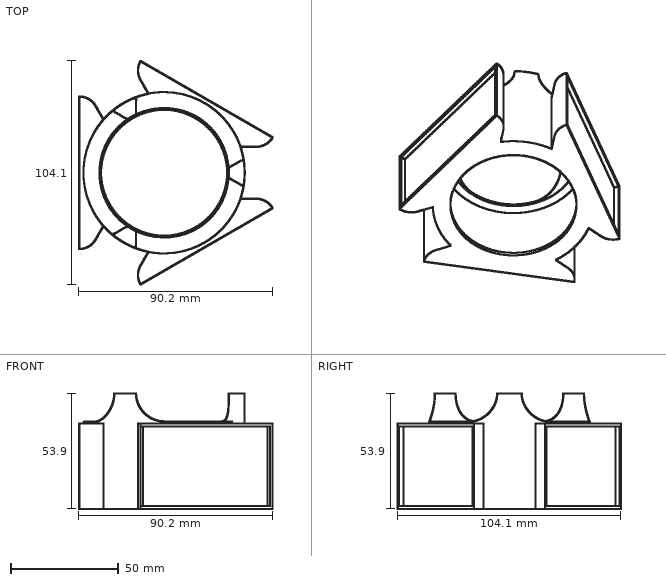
import cadquery as cq
import math

span_y = 104.1
total_height = 53.9

ring_outer_diameter = 75.2
cavity_diameter = 68.5
mouth_diameter = 60.3
floor_hole_diameter = 58.7
floor_thickness = 2.0
mouth_lip_thickness = 2.0

post_sweep_radius = 13.0
rim_height = total_height - post_sweep_radius
cavity_top = rim_height - mouth_lip_thickness
rim_fillet = 1.0
rim_half_angle = 30.0
panel_angles = (60.0, 180.0, 300.0)
tolerance = 0.01

panel_height = 40.0
panel_distance = 39.6
panel_half_width = span_y - 2 * panel_distance * math.cos(math.radians(30))
panel_end_radius = 8.9
panel_end_turn = math.radians(60)
shank_length = 8.3

recess_margin = 1.5
recess_depth = 2.2


def turned(shape, angle):
    """Shape turned about the ring axis."""
    return shape.rotate((0, 0, 0), (0, 0, 1), angle)


def cylinder(diameter, bottom, top):
    """Upright cylinder on the ring axis."""
    return cq.Workplane("XY").workplane(offset=bottom).circle(diameter / 2).extrude(top - bottom)


def rim_gap():
    """Wedge above the low rim, centred on +X, that clears the space between two posts."""
    reach = ring_outer_diameter
    half_width = reach * math.tan(math.radians(rim_half_angle))
    return (
        cq.Workplane("XY")
        .workplane(offset=rim_height)
        .polyline([(0, 0), (reach, -half_width), (reach, half_width)])
        .close()
        .extrude(post_sweep_radius)
    )


def post_sweep():
    """Radial cylinder along +X that sweeps the rim up into the side of a post."""
    return (
        cq.Workplane("YZ")
        .center(0, total_height)
        .circle(post_sweep_radius)
        .extrude(ring_outer_diameter)
    )


def crown_ring():
    """Tube with the three posts cut out of its top and its rim edges rounded."""
    tube = cylinder(ring_outer_diameter, 0, total_height).cut(cylinder(mouth_diameter, 0, total_height))
    for angle in panel_angles:
        tube = tube.cut(turned(rim_gap(), angle))
        tube = tube.cut(turned(post_sweep(), angle - rim_half_angle))
        tube = tube.cut(turned(post_sweep(), angle + rim_half_angle))

    def on_rim_curve(edge):
        """True for the wall edges that follow the rim, not the flat post tops or radial seams."""
        box = edge.BoundingBox()
        above_walls = box.zmin > rim_height - tolerance
        below_tops = box.zmin < total_height - tolerance
        start, end = edge.startPoint(), edge.endPoint()
        radius_change = abs(math.hypot(start.x, start.y) - math.hypot(end.x, end.y))
        return above_walls and below_tops and radius_change < tolerance

    rim_edges = [edge for edge in tube.edges().vals() if on_rim_curve(edge)]
    return tube.newObject(rim_edges).fillet(rim_fillet)


def panel():
    """Solid panel facing +X, reaching back into the ring."""
    inset = panel_end_radius * math.sin(panel_end_turn)
    drop = panel_end_radius * (1 - math.cos(panel_end_turn))
    half_inset = panel_end_radius * math.sin(panel_end_turn / 2)
    half_drop = panel_end_radius * (1 - math.cos(panel_end_turn / 2))

    arc_middle = (panel_distance - half_inset, panel_half_width - half_drop)
    arc_end = (panel_distance - inset, panel_half_width - drop)
    shank_end = (
        arc_end[0] - shank_length * math.cos(panel_end_turn),
        arc_end[1] - shank_length * math.sin(panel_end_turn),
    )

    def mirrored(point):
        return (point[0], -point[1])

    return (
        cq.Workplane("XY")
        .moveTo(panel_distance, -panel_half_width)
        .lineTo(panel_distance, panel_half_width)
        .threePointArc(arc_middle, arc_end)
        .lineTo(*shank_end)
        .lineTo(*mirrored(shank_end))
        .lineTo(*mirrored(arc_end))
        .threePointArc(mirrored(arc_middle), (panel_distance, -panel_half_width))
        .close()
        .extrude(panel_height)
    )


def label_recess():
    """Shallow rectangular pocket in the face of a panel facing +X."""
    return (
        cq.Workplane("YZ")
        .workplane(offset=panel_distance - recess_depth)
        .center(0, panel_height / 2)
        .rect(2 * (panel_half_width - recess_margin), panel_height - 2 * recess_margin)
        .extrude(recess_depth)
    )


def bore():
    """Stepped hole through the ring: floor hole, wide cavity and mouth."""
    through_hole = cylinder(floor_hole_diameter, 0, total_height)
    cavity = cylinder(cavity_diameter, floor_thickness, cavity_top)
    mouth = cylinder(mouth_diameter, floor_thickness, total_height)
    return through_hole.union(cavity).union(mouth)


part = crown_ring().union(cylinder(ring_outer_diameter, 0, floor_thickness))
for angle in panel_angles:
    part = part.union(turned(panel(), angle))
for angle in panel_angles:
    part = part.cut(turned(label_recess(), angle))

result = part.cut(bore())